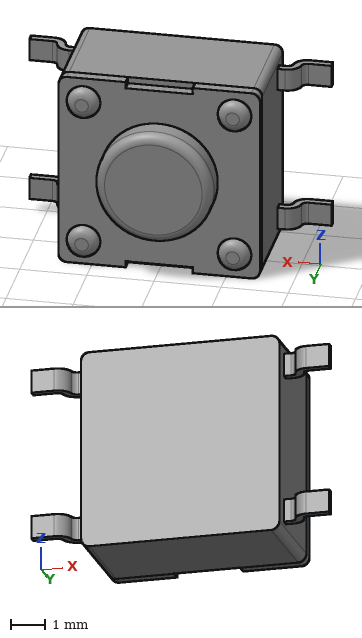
import cadquery as cq
import math

span_x = 9.0
total_depth = 4.2

body_side = 6.0
corner_radius = 0.25
body_depth = 3.36
cover_thickness = 0.35
housing_depth = body_depth - cover_thickness
notch_width = 2.0
notch_depth = 0.2

rivet_diameter = 1.0
rivet_height = 0.3
rivet_offset = body_side / 2 - corner_radius - rivet_diameter / 2

button_diameter = 3.5
button_height = total_depth - body_depth
button_rounding = 0.3

lead_thickness = 0.25
lead_width = 0.68
lead_offset = 2.25
lead_rise = 0.51
foot_length = 0.68
shoulder_length = 0.22


def square_plate(y_start, depth):
    """Rounded square block reaching from y_start towards +Y."""
    return (
        cq.Workplane("XZ", origin=(0, y_start, 0))
        .rect(body_side, body_side)
        .extrude(-depth)
        .edges("|Y")
        .fillet(corner_radius)
    )


def rounded_disc(diameter, height, rounding):
    """Disc along +Y whose far rim is rounded by a quarter circle."""
    radius = diameter / 2
    diagonal = rounding * math.sqrt(0.5)
    profile = cq.Workplane("XY").lineTo(radius, 0)
    if height > rounding:
        profile = profile.lineTo(radius, height - rounding)
    return (
        profile.threePointArc(
            (radius - rounding + diagonal, height - rounding + diagonal),
            (radius - rounding, height),
        )
        .lineTo(0, height)
        .close()
        .revolve(360, (0, 0, 0), (0, 1, 0))
    )


def make_cover():
    """Cover plate with a notch in its two Z edges and four rivet heads."""
    cover = square_plate(housing_depth, cover_thickness)
    for side in (-1, 1):
        notch = cq.Workplane("XY").box(notch_width, cover_thickness, 2 * notch_depth)
        cover = cover.cut(
            notch.translate((0, housing_depth + cover_thickness / 2, side * body_side / 2))
        )
    rivet_head = rounded_disc(rivet_diameter, rivet_height, rivet_height)
    for x_sign in (-1, 1):
        for z_sign in (-1, 1):
            place = (x_sign * rivet_offset, body_depth, z_sign * rivet_offset)
            cover = cover.union(rivet_head.translate(place))
    return cover


def make_lead():
    """Lead on the -X side, centred on Z = 0: flat foot, two tangent arcs, shoulder."""
    foot_end = -span_x / 2
    wall = -body_side / 2
    foot_bend_x = foot_end + foot_length
    shoulder_bend_x = wall - shoulder_length
    run = shoulder_bend_x - foot_bend_x

    bend_angle = 2 * math.atan2(lead_rise, run)
    mid_radius = run / (2 * math.sin(bend_angle))
    inner = mid_radius - lead_thickness / 2
    outer = mid_radius + lead_thickness / 2
    foot_centre_y = lead_thickness / 2 + mid_radius
    shoulder_centre_y = lead_thickness / 2 + lead_rise - mid_radius

    def foot_bend(radius, angle):
        return (foot_bend_x + radius * math.sin(angle), foot_centre_y - radius * math.cos(angle))

    def shoulder_bend(radius, angle):
        return (shoulder_bend_x - radius * math.sin(angle), shoulder_centre_y + radius * math.cos(angle))

    half_angle = bend_angle / 2
    return (
        cq.Workplane("XY", origin=(0, 0, -lead_width / 2))
        .moveTo(foot_end, 0)
        .lineTo(foot_bend_x, 0)
        .threePointArc(foot_bend(outer, half_angle), foot_bend(outer, bend_angle))
        .threePointArc(shoulder_bend(inner, half_angle), shoulder_bend(inner, 0))
        .lineTo(wall, lead_rise)
        .lineTo(wall, lead_rise + lead_thickness)
        .lineTo(*shoulder_bend(outer, 0))
        .threePointArc(shoulder_bend(outer, half_angle), shoulder_bend(outer, bend_angle))
        .threePointArc(foot_bend(inner, half_angle), foot_bend(inner, 0))
        .lineTo(foot_end, lead_thickness)
        .close()
        .extrude(lead_width)
    )


housing = square_plate(0, housing_depth)
cover = make_cover()
button = rounded_disc(button_diameter, button_height, button_rounding).translate((0, body_depth, 0))

leads = []
for z_sign in (-1, 1):
    left_lead = make_lead().translate((0, 0, z_sign * lead_offset))
    leads.append(left_lead.val())
    leads.append(left_lead.mirror("YZ").val())

result = cq.Compound.makeCompound([housing.val(), cover.val(), button.val(), *leads])